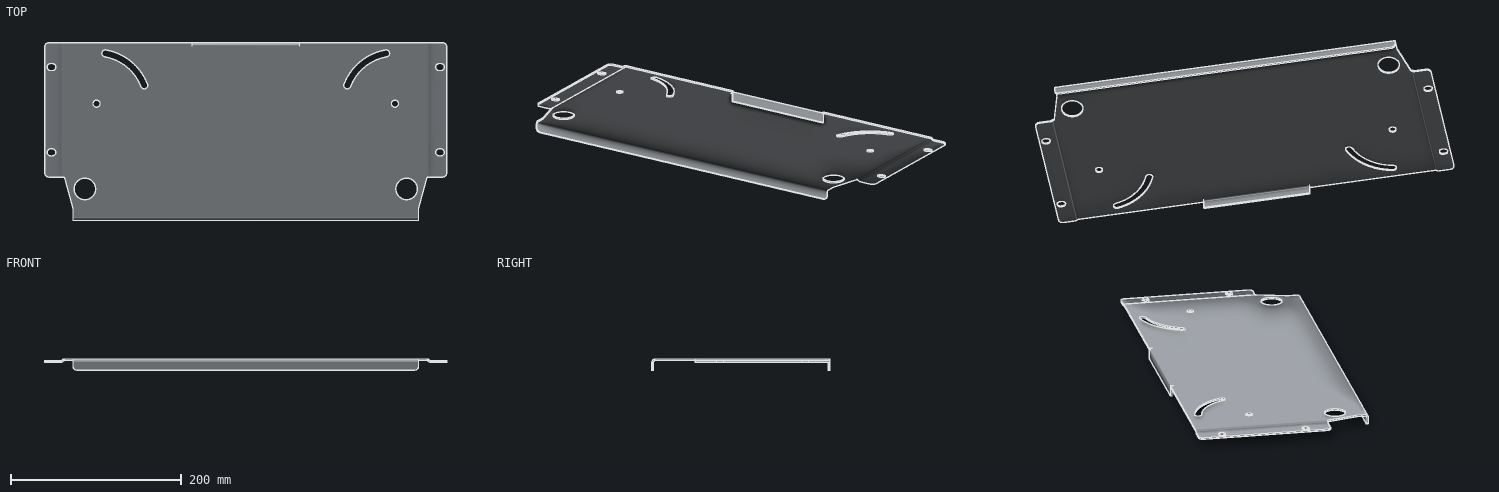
import cadquery as cq
import math

total_width = 471.5
total_depth = 209.0
total_height = 13.0

sheet = 2.0
inner_bend = 2.0
outer_bend = inner_bend + sheet

joggle_start = 212.5
wing_length = 158.0
wing_corner = 5.0
wing_drop = sheet

lip_half_width = 202.7
lip_corner = 4.5
taper_length = 36.5
tab_half_width = 63.0

mount_slot_x = 227.5
mount_slot_back = 28.8
mount_slot_pitch = 100.0
mount_slot_length = 10.0
mount_slot_width = 8.0
pivot_x = 175.0
pivot_back = 71.5
pivot_diameter = 8.0
arc_radius = 60.0
arc_slot_width = 8.0
arc_low_angle = 21.0
arc_high_angle = 80.0
port_x = 188.5
port_back = 171.5
port_diameter = 25.0

rear_y = total_depth / 2
front_y = -total_depth / 2
wing_front_y = rear_y - wing_length
cut_depth = 2 * total_height


def top_plate():
    """Flat sheet between the joggles, narrowing to the front lip and notched for the rear tab."""
    taper_front_y = wing_front_y - taper_length
    front_bend_y = front_y + outer_bend
    rear_bend_y = rear_y - outer_bend
    right_outline = [
        (0, front_bend_y),
        (lip_half_width, front_bend_y),
        (lip_half_width, taper_front_y),
        (joggle_start, wing_front_y),
        (joggle_start, rear_y),
        (tab_half_width, rear_y),
        (tab_half_width, rear_bend_y),
        (0, rear_bend_y),
    ]
    return cq.Workplane("XY").polyline(right_outline).mirrorY().extrude(-sheet)


def folded_flange(half_width):
    """Rounded fold down at the rear edge, ending in a vertical leg."""
    bend_y = rear_y - outer_bend
    diagonal = math.sqrt(0.5)
    return (
        cq.Workplane("YZ")
        .moveTo(bend_y, 0)
        .threePointArc(
            (bend_y + outer_bend * diagonal, -outer_bend + outer_bend * diagonal),
            (rear_y, -outer_bend),
        )
        .lineTo(rear_y, -total_height)
        .lineTo(rear_y - sheet, -total_height)
        .lineTo(rear_y - sheet, -outer_bend)
        .threePointArc(
            (bend_y + inner_bend * diagonal, -outer_bend + inner_bend * diagonal),
            (bend_y, -sheet),
        )
        .close()
        .extrude(half_width, both=True)
    )


def front_lip():
    lip = folded_flange(lip_half_width).mirror("XZ")
    return lip.edges("|Y").edges("<Z").fillet(lip_corner)


def right_wing():
    """S-shaped joggle of two equal, opposite bends and the lowered wing on the +X side."""
    bend_radii = inner_bend + outer_bend
    bend_angle = math.acos(1 - wing_drop / bend_radii)
    wing_x = joggle_start + bend_radii * math.sin(bend_angle)
    edge_x = total_width / 2
    upper_center_z = -outer_bend
    lower_center_z = outer_bend - wing_drop - sheet

    def upper_point(radius, angle):
        """Point on the bend that leaves the top plate, from its crest at angle 0."""
        return (joggle_start + radius * math.sin(angle), upper_center_z + radius * math.cos(angle))

    def lower_point(radius, angle):
        """Point on the bend that levels out into the wing, from its bottom at angle 0."""
        return (wing_x - radius * math.sin(angle), lower_center_z - radius * math.cos(angle))

    wing = (
        cq.Workplane("XZ", origin=(0, rear_y, 0))
        .moveTo(*upper_point(outer_bend, 0))
        .threePointArc(upper_point(outer_bend, bend_angle / 2), upper_point(outer_bend, bend_angle))
        .threePointArc(lower_point(inner_bend, bend_angle / 2), lower_point(inner_bend, 0))
        .lineTo(edge_x, -wing_drop)
        .lineTo(edge_x, -wing_drop - sheet)
        .lineTo(*lower_point(outer_bend, 0))
        .threePointArc(lower_point(outer_bend, bend_angle / 2), lower_point(outer_bend, bend_angle))
        .threePointArc(upper_point(inner_bend, bend_angle / 2), upper_point(inner_bend, 0))
        .close()
        .extrude(wing_length)
    )
    return wing.edges("|Z and >X").fillet(wing_corner)


def right_arc_slot():
    """Round-ended slot on the +X side, concentric with the pivot hole."""
    pivot_y = rear_y - pivot_back

    def arc_point(radius, elevation):
        angle = math.radians(180 - elevation)
        return (pivot_x + radius * math.cos(angle), pivot_y + radius * math.sin(angle))

    outer = arc_radius + arc_slot_width / 2
    inner = arc_radius - arc_slot_width / 2
    middle_angle = (arc_low_angle + arc_high_angle) / 2
    end_overrun = math.degrees(arc_slot_width / 2 / arc_radius)
    return (
        cq.Workplane("XY")
        .moveTo(*arc_point(outer, arc_low_angle))
        .threePointArc(arc_point(outer, middle_angle), arc_point(outer, arc_high_angle))
        .threePointArc(
            arc_point(arc_radius, arc_high_angle + end_overrun),
            arc_point(inner, arc_high_angle),
        )
        .threePointArc(arc_point(inner, middle_angle), arc_point(inner, arc_low_angle))
        .threePointArc(
            arc_point(arc_radius, arc_low_angle - end_overrun),
            arc_point(outer, arc_low_angle),
        )
        .close()
        .extrude(cut_depth, both=True)
    )


def right_openings():
    """All cutters for the +X half."""
    mount_slots = (
        cq.Workplane("XY")
        .pushPoints([
            (mount_slot_x, rear_y - mount_slot_back),
            (mount_slot_x, rear_y - mount_slot_back - mount_slot_pitch),
        ])
        .slot2D(mount_slot_length, mount_slot_width)
        .extrude(cut_depth, both=True)
    )
    cutters = mount_slots.union(right_arc_slot())
    round_holes = (
        (pivot_x, pivot_back, pivot_diameter),
        (port_x, port_back, port_diameter),
    )
    for x, back, diameter in round_holes:
        hole = (
            cq.Workplane("XY")
            .center(x, rear_y - back)
            .circle(diameter / 2)
            .extrude(cut_depth, both=True)
        )
        cutters = cutters.union(hole)
    return cutters


wing = right_wing()
openings = right_openings()

result = top_plate().union(folded_flange(tab_half_width)).union(front_lip())
result = result.union(wing).union(wing.mirror("YZ"))
result = result.cut(openings).cut(openings.mirror("YZ"))